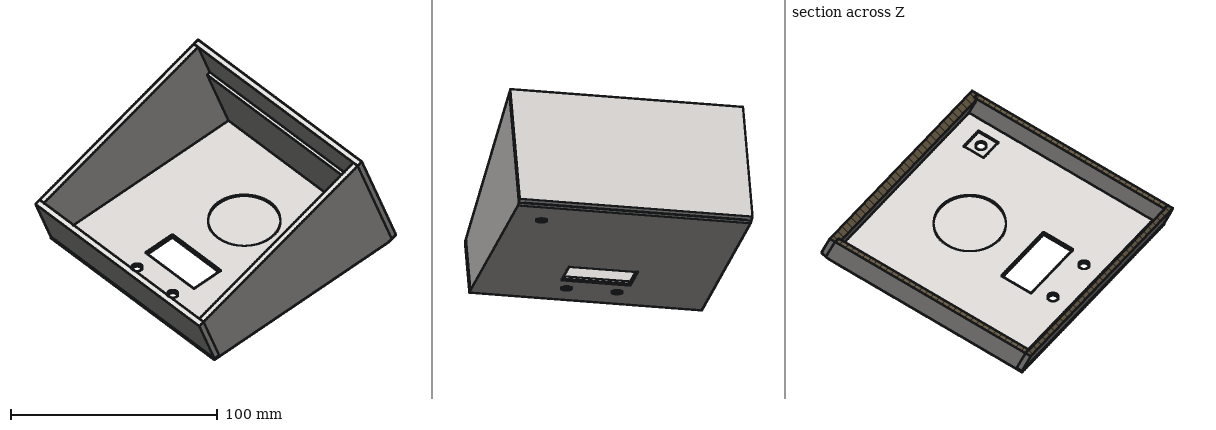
import cadquery as cq
import math


width = 115.0
overall_depth = 131.48
overall_height = 67.71
back_height = 69.9
tilt = math.radians(19.07)
wall = 3.0
sheet_thickness = 1.0
plate_thickness = 1.2

step_depth = 1.9
step_height = 45.9

slot_length = 2.0
slot_depth = 0.6
corner_width = 1.8

recess_depth = 1.0
dial_diameter = 35.0
dial_y = -46.7
window_width = 34.0
window_length = 18.0
window_y = -87.5
hole_diameter = 5.3
hole_spacing = 25.0
hole_y = -106.4
pocket_size = 12.0
pocket_x = 42.4
pocket_y = -21.7

inner_width = width - 2 * wall
rim_length = (overall_depth - back_height * math.sin(tilt)) / math.cos(tilt)
inner_length = rim_length - wall
corner_height = overall_height - back_height * math.cos(tilt)
floor_top = sheet_thickness + plate_thickness
recess_floor = floor_top - recess_depth


def tilted(along, up):
    """(Y, Z) of a point given along the rim direction and up the leaning back."""
    y = -along * math.cos(tilt) - up * math.sin(tilt)
    z = corner_height - along * math.sin(tilt) + up * math.cos(tilt)
    return (y, z)


def tilted_at_height(along, z):
    """(Y, Z) of the point at height z on the leaning line a given distance along the rim."""
    up = (z - corner_height + along * math.sin(tilt)) / math.cos(tilt)
    return tilted(along, up)


def prism(points, prism_width):
    """Extrude a (Y, Z) outline symmetrically about X = 0."""
    return cq.Workplane("YZ").polyline(points).close().extrude(prism_width / 2, both=True)


def upright_box(size_x, size_y, x, y, bottom):
    """Cutting box from the given height up to the floor's upper face."""
    height = floor_top - bottom
    return cq.Workplane("XY", origin=(x, y, bottom)).rect(size_x, size_y).extrude(height)


def upright_cylinder(diameter, x, y, bottom):
    """Cutting cylinder from the given height up to the floor's upper face."""
    height = floor_top - bottom
    return cq.Workplane("XY", origin=(x, y, bottom)).circle(diameter / 2).extrude(height)


def cut_through_openings(body):
    """Window and screw holes that pass through the base sheet and the floor plate."""
    body = body.cut(upright_box(window_width, window_length, 0, window_y, 0))
    for side in (-1, 1):
        body = body.cut(upright_cylinder(hole_diameter, side * hole_spacing / 2, hole_y, 0))
    return body.cut(upright_cylinder(hole_diameter, pocket_x, pocket_y, 0))


def make_cradle():
    front_foot = tilted_at_height(rim_length, sheet_thickness)
    underside_start = corner_height / math.sin(tilt)
    outline = [
        tilted(wall, 0),
        tilted(wall, back_height),
        tilted(inner_length, back_height),
        tilted_at_height(inner_length, sheet_thickness),
        front_foot,
        (front_foot[0], 0),
        tilted(underside_start, 0),
    ]
    between_sides = [
        tilted_at_height(wall, sheet_thickness),
        tilted(wall, back_height),
        tilted(inner_length, back_height),
        tilted_at_height(inner_length, sheet_thickness),
    ]
    return cut_through_openings(prism(outline, width).cut(prism(between_sides, inner_width)))


def make_back_panel():
    panel = [
        tilted(0, 0),
        tilted(0, back_height),
        tilted(wall, back_height),
        tilted(wall, 0),
    ]
    step = [
        tilted_at_height(wall, sheet_thickness),
        tilted(wall, step_height),
        tilted(wall + step_depth, step_height),
        tilted_at_height(wall + step_depth, sheet_thickness),
    ]
    return prism(panel, width).union(prism(step, inner_width))


def make_front_panel():
    panel = [
        tilted_at_height(inner_length, sheet_thickness),
        tilted(inner_length, back_height),
        tilted(rim_length, back_height),
        tilted_at_height(rim_length, sheet_thickness),
    ]
    return prism(panel, width)


def make_floor_plate():
    plate = [
        tilted_at_height(wall, sheet_thickness),
        tilted_at_height(wall, floor_top),
        tilted_at_height(inner_length, floor_top),
        tilted_at_height(inner_length, sheet_thickness),
    ]
    return prism(plate, inner_width)


def make_front_recess():
    """Slot along the front panel, ending in a corner that slopes down to the panel."""
    panel_at_floor = tilted_at_height(inner_length, floor_top)
    slot_bottom = tilted_at_height(inner_length, floor_top - slot_depth)
    slot_outline = [
        panel_at_floor,
        slot_bottom,
        (slot_bottom[0] + slot_length, slot_bottom[1]),
        (slot_bottom[0] + slot_length, floor_top),
    ]
    corner_drop = slot_length * math.tan(tilt)
    corner_bottom = tilted_at_height(inner_length, floor_top - corner_drop)
    corner_outline = [
        panel_at_floor,
        corner_bottom,
        (corner_bottom[0] + slot_length, floor_top),
    ]
    slot = prism(slot_outline, inner_width - 2 * corner_width)
    return slot.union(prism(corner_outline, inner_width))


def make_liner():
    body = make_floor_plate().cut(make_front_recess())
    body = body.union(make_back_panel()).union(make_front_panel())
    body = body.cut(upright_cylinder(dial_diameter, 0, dial_y, recess_floor))
    body = body.cut(upright_box(pocket_size, pocket_size, pocket_x, pocket_y, recess_floor))
    return cut_through_openings(body)


cradle = make_cradle()
liner = make_liner()

result = cq.Compound.makeCompound([cradle.val(), liner.val()])